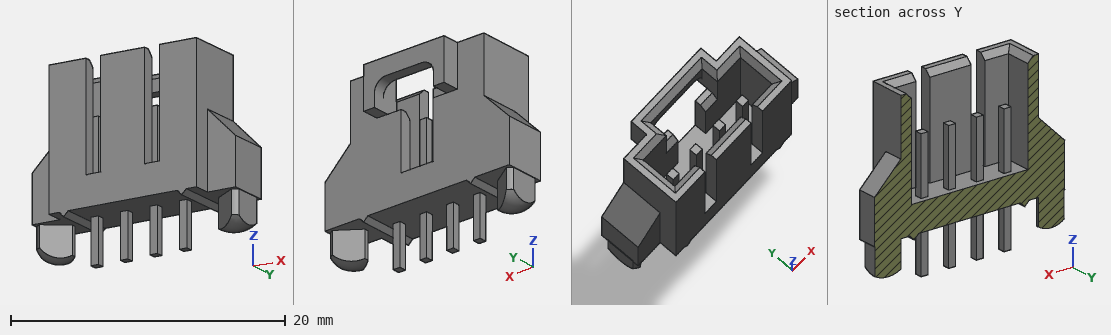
import cadquery as cq


body_width = 12.65
body_depth = 5.1
body_height = 11.4
wall = 1.01
rim_bevel = 0.5
floor_height = 2.5

collar_width = 7.62
collar_depth = 1.5
collar_bottom = 7.62
window_height = 2.24
window_radius = 1.12

front_slot_width = 1.25
front_slot_gap = 3.8
rear_slot_width = 3.0

overall_width = 17.48
ear_reach = (overall_width - body_width) / 2
ear_depth = 3.57
ear_height = 6.35

peg_length = 2.71
peg_reach = 2.41
peg_inset = 0.05
peg_base_width = 3.67
peg_point_width = 0.38
peg_bar_radius = 1.71
left_dome_rise = 0.95
right_dome_rise = 0.73

rib_spacing = 10.14
rib_height = 0.4

pin_count = 4
pin_pitch = 2.53
pin_size = 0.65
pin_top = collar_bottom
pin_tail = 3.7

rear_y = body_depth / 2
front_y = -rear_y
cavity_width = body_width - 2 * wall
cavity_depth = body_depth - 2 * wall
collar_inner_width = collar_width - 2 * wall
collar_rear_y = rear_y + collar_depth
collar_inner_y = collar_rear_y - wall
peg_x = (body_width + ear_reach) / 2 - peg_inset
peg_y = rear_y - ear_depth / 2


def block(x_range, y_range, z_range):
    """Box between pairs of limits along X, Y and Z."""
    sizes = [high - low for low, high in (x_range, y_range, z_range)]
    corner = (x_range[0], y_range[0], z_range[0])
    return cq.Workplane("XY").box(*sizes, centered=False).translate(corner)


def centred_block(width, y_range, z_range):
    """Box that is symmetric about X = 0."""
    return block((-width / 2, width / 2), y_range, z_range)


def shroud():
    """Housing and collar, hollowed to the cavity floor, with a bevelled inner rim."""
    outside = centred_block(body_width, (front_y, rear_y), (0, body_height)).union(
        centred_block(collar_width, (0, collar_rear_y), (collar_bottom, body_height))
    )
    cavity = centred_block(
        cavity_width, (-cavity_depth / 2, cavity_depth / 2), (floor_height, body_height)
    ).union(centred_block(collar_inner_width, (0, collar_inner_y), (collar_bottom, body_height)))
    hollow = outside.cut(cavity)
    rim_edges = hollow.faces(">Z").val().innerWires()[0].Edges()
    return hollow.newObject(rim_edges).chamfer(rim_bevel)


def sill_bevel():
    """Wedge that bevels the low rear wall inside the collar."""
    inner_y = cavity_depth / 2
    return (
        cq.Workplane("YZ")
        .moveTo(inner_y, collar_bottom)
        .lineTo(inner_y + rim_bevel, collar_bottom)
        .lineTo(inner_y, collar_bottom - rim_bevel)
        .close()
        .extrude(collar_inner_width / 2, both=True)
    )


def collar_window():
    """Opening in the collar's rear wall, with rounded upper corners."""
    return centred_block(
        collar_inner_width,
        (rear_y, collar_rear_y),
        (collar_bottom, collar_bottom + window_height),
    ).edges("|Y and >Z").fillet(window_radius)


def front_slot(side):
    inner_x = side * front_slot_gap / 2
    outer_x = inner_x + side * front_slot_width
    return block(sorted((inner_x, outer_x)), (front_y, 0), (floor_height, body_height))


def rear_slot():
    return centred_block(rear_slot_width, (0, rear_y), (floor_height, collar_bottom))


def right_ear():
    """Ear on the +X side, sloping outwards at 45 degrees from the housing wall."""
    inner_x = body_width / 2
    outer_x = inner_x + ear_reach
    return (
        cq.Workplane("XZ", origin=(0, rear_y, 0))
        .moveTo(inner_x, 0)
        .lineTo(outer_x, 0)
        .lineTo(outer_x, ear_height - ear_reach)
        .lineTo(inner_x, ear_height)
        .close()
        .extrude(ear_depth)
    )


def right_peg(dome_rise):
    """Peg on the +X side: a triangular prism trimmed by a round bar with a spherical end."""
    base_x = peg_reach / 2
    prism = (
        cq.Workplane("XY")
        .moveTo(base_x, -peg_base_width / 2)
        .lineTo(base_x, peg_base_width / 2)
        .lineTo(-base_x, peg_point_width / 2)
        .lineTo(-base_x, -peg_point_width / 2)
        .close()
        .extrude(-peg_length)
    )
    dome_radius = (peg_bar_radius**2 + dome_rise**2) / (2 * dome_rise)
    round_bar = (
        cq.Workplane("XZ")
        .moveTo(0, -peg_length)
        .radiusArc((peg_bar_radius, dome_rise - peg_length), -dome_radius)
        .lineTo(peg_bar_radius, 0)
        .lineTo(0, 0)
        .close()
        .revolve(360, (0, 0), (0, 1))
    )
    return prism.intersect(round_bar).translate((peg_x, peg_y, 0))


def rib(x):
    """Right-angled V-shaped rib that runs the full depth of the base."""
    return (
        cq.Workplane("XZ", origin=(x, rear_y, 0))
        .moveTo(-rib_height, 0)
        .lineTo(rib_height, 0)
        .lineTo(0, -rib_height)
        .close()
        .extrude(body_depth)
    )


def pin(x):
    half = pin_size / 2
    return block((x - half, x + half), (-half, half), (-pin_tail, pin_top))


result = shroud().cut(sill_bevel()).cut(collar_window()).cut(rear_slot())
for side in (-1, 1):
    result = result.cut(front_slot(side))
    result = result.union(rib(side * rib_spacing / 2))

result = result.union(right_ear()).union(right_ear().mirror("YZ"))
result = result.union(right_peg(right_dome_rise))
result = result.union(right_peg(left_dome_rise).mirror("YZ"))

for index in range(pin_count):
    result = result.union(pin((index - (pin_count - 1) / 2) * pin_pitch))